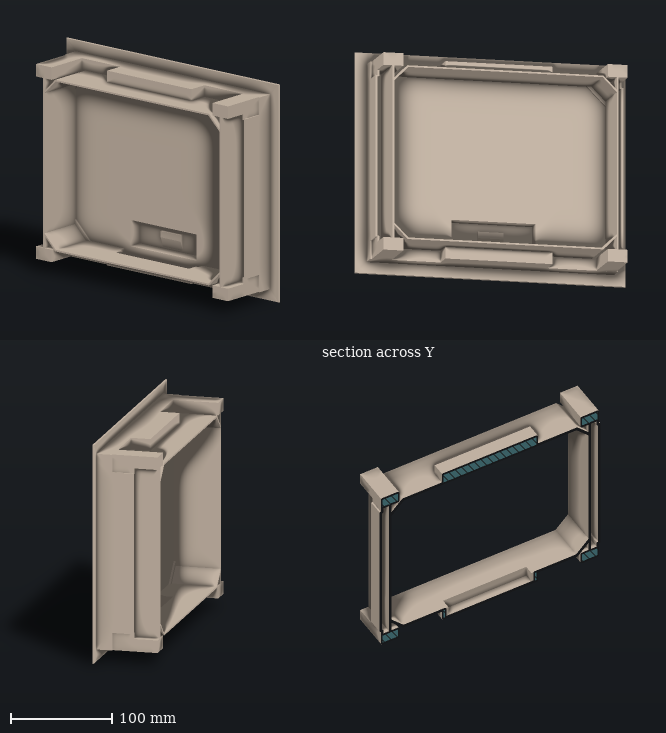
import cadquery as cq
import math

overall_x = 275.92
overall_y = 64.01
overall_z = 222.92
front_y = -overall_y / 2
back_y = overall_y / 2

sheet = 1.7
plate_thickness = 2.0

flange_overhang = 12.0
slab_x = overall_x - 2 * flange_overhang
slab_z = overall_z - 2 * flange_overhang
slab_depth = 16.0
slab_front_y = back_y - slab_depth
flange_root_y = 30.0
flange_lip_y = 29.3
flange_lip_inset = 0.6
flange_rim_y = 30.8
back_bevel = 14.0

plate_front_y = slab_front_y - plate_thickness
box_x = 230.0
box_z = 175.2
inner_x = box_x - 2 * sheet
inner_z = box_z - 2 * sheet
side_wall_z = 173.4
wall_chamfer_sum = 187.2
opening_chamfer_sum = 180.1

foot_outer_x = slab_x / 2 - sheet
foot_inner_x = 104.1
foot_inner_z = side_wall_z / 2

guard_front_y = -7.7
guard_z = 163.2
strap_thickness = 1.9
strap_inner_z = 80.5

block_x = 109.1
block_front_y = -5.8

outlet_bottom_z = -slab_z / 2 + sheet
outlet_wide_x = 101.0
outlet_narrow_x = 95.0
outlet_step_y = 9.0
outlet_front_y = -1.3

flap_x = 85.4
flap_top_z = -55.4
bar_top_z = -82.1
panel_front_y = back_y - plate_thickness
catch_x = 25.7
catch_front_y = 26.7
catch_top_z = -63.6
catch_edge_z = -70.1
catch_bottom_z = -80.1


def block(x_range, y_range, z_range):
    """A box between the given pairs of limits."""
    limits = (x_range, y_range, z_range)
    sizes = [high - low for low, high in limits]
    corner = [low for low, high in limits]
    return cq.Workplane("XY").box(*sizes, centered=False).translate(tuple(corner))


def in_all_corners(piece):
    """A piece from the +X +Z corner together with its three mirror copies."""
    pair = piece.union(piece.mirror("YZ"))
    return pair.union(pair.mirror("XY"))


def section(y):
    """A sketch plane at the given Y, with X to the right, Z up and extrusion towards +Y."""
    return cq.Workplane(cq.Plane(origin=(0, y, 0), xDir=(1, 0, 0), normal=(0, -1, 0)))


def prism(half_x, half_z, corner_sum, y_low, y_high):
    """A rectangular prism whose 45 degree corner cuts lie on |x| + |z| = corner_sum."""
    chamfer = half_x + half_z - corner_sum
    body = section(y_low).rect(2 * half_x, 2 * half_z).extrude(y_low - y_high)
    return body.edges("|Y").chamfer(chamfer)


def frustum(x_low, z_low, y_low, x_high, z_high, y_high):
    """A four-sided taper between two rectangles at different Y."""
    lower = section(y_low).rect(x_low, z_low)
    return lower.workplane(offset=y_low - y_high).rect(x_high, z_high).loft(ruled=True)


def make_flange():
    lip_x = overall_x - 2 * flange_lip_inset
    lip_z = overall_z - 2 * flange_lip_inset
    rim = frustum(lip_x, lip_z, flange_lip_y, overall_x, overall_z, flange_rim_y)
    back = frustum(
        overall_x, overall_z, flange_rim_y, overall_x - 2 * back_bevel, overall_z - 2 * back_bevel, back_y
    )
    underside = frustum(lip_x, lip_z, flange_lip_y, slab_x, slab_z, flange_root_y)
    return rim.union(back).cut(underside)


def flap_envelope():
    return block((-flap_x / 2, flap_x / 2), (slab_front_y, back_y), (outlet_bottom_z, flap_top_z))


def make_cover():
    slab = block(
        (-slab_x / 2, slab_x / 2), (slab_front_y, flange_rim_y), (-slab_z / 2, slab_z / 2)
    )
    return slab.union(make_flange()).cut(flap_envelope())


def make_box_walls():
    half_x = box_x / 2
    half_z = box_z / 2
    chamfered = prism(half_x, half_z, wall_chamfer_sum, front_y, plate_front_y)
    inner_sum = wall_chamfer_sum - sheet * math.sqrt(2)
    chamfered = chamfered.cut(
        prism(inner_x / 2, inner_z / 2, inner_sum, front_y, plate_front_y)
    )
    side = block(
        (inner_x / 2, half_x), (front_y, plate_front_y), (-side_wall_z / 2, side_wall_z / 2)
    )
    return chamfered.union(side).union(side.mirror("YZ"))


def make_plate():
    plate = block(
        (-slab_x / 2, slab_x / 2), (plate_front_y, slab_front_y), (-slab_z / 2, slab_z / 2)
    )
    opening = prism(inner_x / 2, inner_z / 2, opening_chamfer_sum, plate_front_y, slab_front_y)
    return plate.cut(opening)


def make_feet():
    foot = block(
        (foot_inner_x, foot_outer_x), (front_y, plate_front_y), (foot_inner_z, slab_z / 2)
    )
    strap = block(
        (foot_outer_x - strap_thickness, foot_outer_x),
        (guard_front_y, plate_front_y),
        (strap_inner_z, foot_inner_z),
    )
    return in_all_corners(foot.union(strap))


def make_guards():
    guard = block(
        (foot_outer_x, slab_x / 2), (guard_front_y, plate_front_y), (-guard_z / 2, guard_z / 2)
    )
    return guard.union(guard.mirror("YZ"))


def make_long_blocks():
    upper = block(
        (-block_x / 2, block_x / 2), (block_front_y, plate_front_y), (box_z / 2, slab_z / 2)
    )
    return upper.union(upper.mirror("XY"))


def make_outlet():
    z_range = (outlet_bottom_z, -inner_z / 2)
    wide = block(
        (-outlet_wide_x / 2, outlet_wide_x / 2), (outlet_step_y, slab_front_y), z_range
    )
    narrow = block(
        (-outlet_narrow_x / 2, outlet_narrow_x / 2), (outlet_front_y, outlet_step_y), z_range
    )
    return wide.union(narrow)


def make_housing():
    housing = make_plate().union(make_box_walls()).union(make_feet())
    housing = housing.union(make_guards()).union(make_long_blocks())
    return housing.cut(make_outlet())


def make_flap():
    recess = block(
        (-flap_x / 2, flap_x / 2), (slab_front_y, panel_front_y), (bar_top_z, flap_top_z)
    )
    catch = (
        cq.Workplane("YZ")
        .moveTo(panel_front_y, catch_top_z)
        .lineTo(catch_front_y, catch_top_z)
        .lineTo(catch_front_y, catch_edge_z)
        .lineTo(panel_front_y, catch_bottom_z)
        .close()
        .extrude(catch_x / 2, both=True)
    )
    return flap_envelope().cut(recess).union(catch)


cover = make_cover()
housing = make_housing()
flap = make_flap()

result = cq.Compound.makeCompound([
    cover.solids().val(),
    housing.solids().val(),
    flap.solids().val(),
])